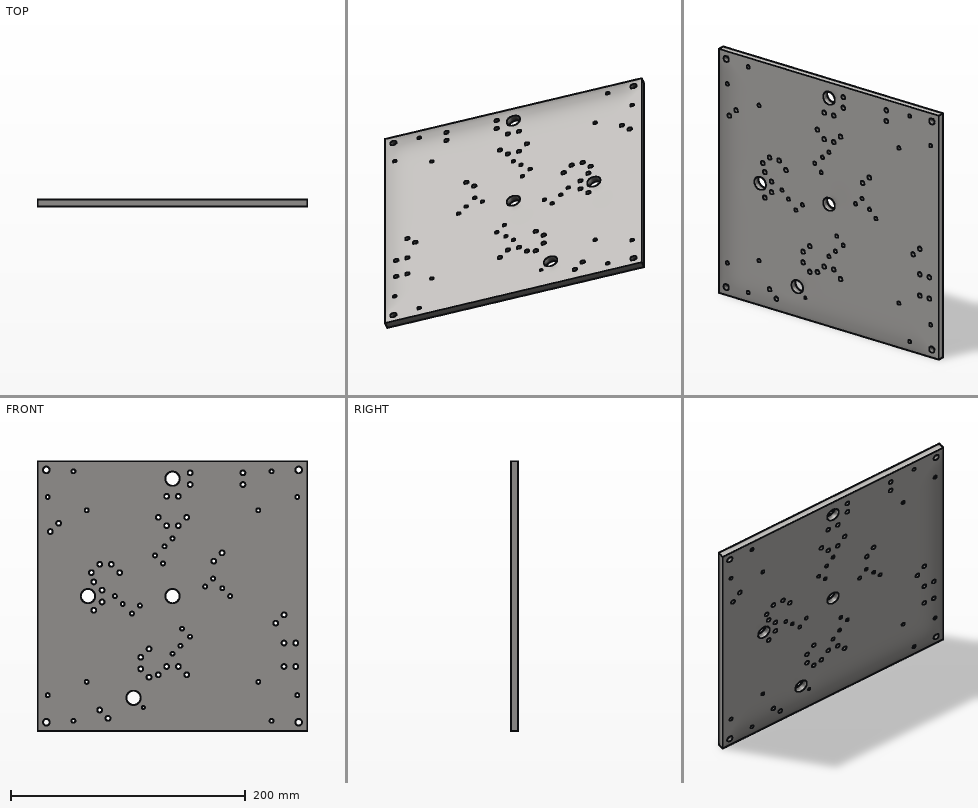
import cadquery as cq
import math

PLATE_SIDE = 230.0
PLATE_THICKNESS = 6.15

CORNER_DIAMETER = 5.5
SMALL_DIAMETER = 3.24
PAIR_DIAMETER = 4.0
LARGE_DIAMETER = 12.0
PILOT_DIAMETER = 2.46

CORNER_INSET = 7.5
CORNER_OFFSET = PLATE_SIDE / 2 - CORNER_INSET
EDGE_INSET = 8.7
EDGE_OFFSET = PLATE_SIDE / 2 - EDGE_INSET
EDGE_ALONG = 84.4
DIAGONAL_OFFSET = 73.1

LARGE_HOLES = [(0, 0), (0, 100), (-72, 0), (-33.2, -86.7)]
PILOT_HOLE = (-24.8, -94.9)

ARM_HOLES = [(0, 49.1), (-6.75, 42.4), (-14.9, 34.6), (-8.1, 27.8)]

PAIR_SPACING = 10.0
PAIRS = [
    (0, 85, 0),
    (15, 100, 90),
    (60, 100, 90),
    (100, -40, 0),
    (100, -60, 0),
    (91.5, -19.5, 45),
    (38.7, 33.3, 45),
    (-100.6, 58.5, 45),
    (-58.5, -100.6, -45),
]

LEG_ANGLE = 45
DIAGONAL_STEP = PAIR_SPACING * math.sin(math.radians(LEG_ANGLE))
OUTER_APEX = 60.0
INNER_LEG_END = 20.0
INNER_APEX_OFFSET = INNER_LEG_END + DIAGONAL_STEP
INNER_APEX_ALONG = 50.0 + DIAGONAL_STEP
CHEVRONS = [
    (0, OUTER_APEX, 90),
    (-OUTER_APEX, 0, 180),
    (0, -OUTER_APEX, 270),
    (-INNER_APEX_ALONG, INNER_APEX_OFFSET, 270),
    (-INNER_APEX_OFFSET, -INNER_APEX_ALONG, 0),
]


def rotate(point, angle):
    """Turn an (x, z) point about the origin, from +X towards +Z."""
    x, z = point
    cosine = math.cos(math.radians(angle))
    sine = math.sin(math.radians(angle))
    return (x * cosine - z * sine, x * sine + z * cosine)


def mirrored(x, z):
    """The point repeated in all four quadrants."""
    return [(sx * x, sz * z) for sx in (-1, 1) for sz in (-1, 1)]


def pair(x, z, angle):
    """Two holes centred on (x, z)."""
    dx, dz = rotate((PAIR_SPACING / 2, 0), angle)
    return [(x - dx, z - dz), (x + dx, z + dz)]


def chevron(x, z, angle):
    """Two holes at the apex and two further out along diverging 45 degree legs."""
    half = PAIR_SPACING / 2
    holes = []
    for side in (-1, 1):
        for step in (0, DIAGONAL_STEP):
            dx, dz = rotate((step, side * (half + step)), angle)
            holes.append((x + dx, z + dz))
    return holes


def arms():
    """The arm holes at all four quarter turns."""
    return [rotate(point, turn) for turn in (0, 90, 180, 270) for point in ARM_HOLES]


def drill(plate, points, diameter):
    """Cut through holes along Y at the given (x, z) points."""
    drills = (
        cq.Workplane("XZ")
        .pushPoints(points)
        .circle(diameter / 2)
        .extrude(PLATE_THICKNESS, both=True)
    )
    return plate.cut(drills)


small_holes = (
    mirrored(EDGE_OFFSET, EDGE_ALONG)
    + mirrored(EDGE_ALONG, EDGE_OFFSET)
    + mirrored(DIAGONAL_OFFSET, DIAGONAL_OFFSET)
    + arms()
)
paired_holes = []
for placement in PAIRS:
    paired_holes += pair(*placement)
for placement in CHEVRONS:
    paired_holes += chevron(*placement)

plate = cq.Workplane("XY").box(PLATE_SIDE, PLATE_THICKNESS, PLATE_SIDE)
plate = drill(plate, mirrored(CORNER_OFFSET, CORNER_OFFSET), CORNER_DIAMETER)
plate = drill(plate, small_holes, SMALL_DIAMETER)
plate = drill(plate, paired_holes, PAIR_DIAMETER)
plate = drill(plate, LARGE_HOLES, LARGE_DIAMETER)
plate = drill(plate, [PILOT_HOLE], PILOT_DIAMETER)
result = plate